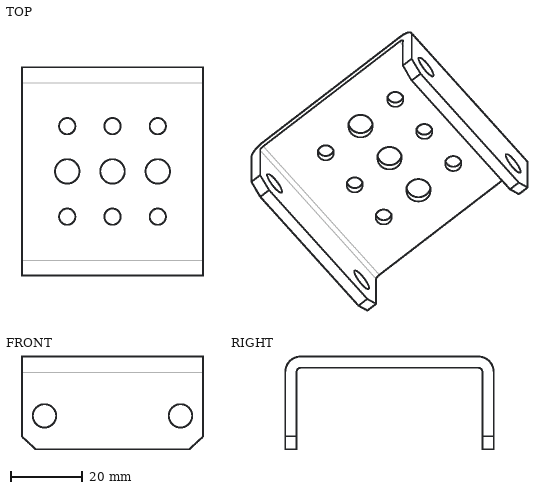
import cadquery as cq

length = 50.8
width = 58.4
height = 26.05

thickness = 3.2
inner_bend_radius = 1.15
outer_bend_radius = inner_bend_radius + thickness

chamfer_run = 3.9
chamfer_rise = 3.6

web_hole_pitch = 12.7
web_center_hole_diameter = 6.8
web_side_hole_diameter = 4.5
flange_hole_diameter = 6.5
flange_hole_spacing = 38.1
flange_hole_height = 9.4


def bent_channel():
    """U-shaped channel, open downward, with its lower edges at Z = 0."""
    outside = (
        cq.Workplane("XY")
        .box(length, width, height, centered=(True, True, False))
        .edges("|X and >Z")
        .fillet(outer_bend_radius)
    )
    inside = (
        cq.Workplane("XY")
        .box(length, width - 2 * thickness, height - thickness, centered=(True, True, False))
        .edges("|X and >Z")
        .fillet(inner_bend_radius)
    )
    return outside.cut(inside)


def flange_corner_cutter(side):
    """Triangular prism through both flanges at the end on the given X side."""
    end = side * length / 2
    return (
        cq.Workplane("XZ")
        .moveTo(end, 0)
        .lineTo(end - side * chamfer_run, 0)
        .lineTo(end, chamfer_rise)
        .close()
        .extrude(width / 2, both=True)
    )


def web_hole_row(y, diameter):
    """Row of three vertical holes at the given Y."""
    return (
        cq.Workplane("XY")
        .pushPoints([(column * web_hole_pitch, y) for column in (-1, 0, 1)])
        .circle(diameter / 2)
        .extrude(height)
    )


def flange_holes():
    """Pair of holes along Y through both flanges."""
    return (
        cq.Workplane("XZ")
        .pushPoints([(side * flange_hole_spacing / 2, flange_hole_height) for side in (-1, 1)])
        .circle(flange_hole_diameter / 2)
        .extrude(width / 2, both=True)
    )


result = bent_channel()

for side in (-1, 1):
    result = result.cut(flange_corner_cutter(side))
    result = result.cut(web_hole_row(side * web_hole_pitch, web_side_hole_diameter))

result = result.cut(web_hole_row(0, web_center_hole_diameter))
result = result.cut(flange_holes())